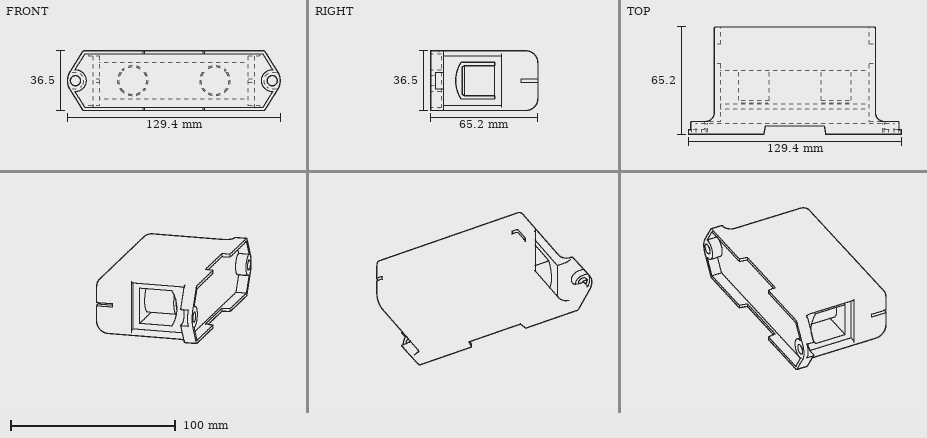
import cadquery as cq
import math

length = 129.4
height = 65.2
width = 36.5

body_length = 98.0
flange_height = 7.9
root_radius = 5.2
shoulder_half_length = 55.1
shoulder_radius = 1.3
tip_radius = 10.0
top_corner_radius = 7.5
rim_radius = 0.9

hole_spacing = 119.5
hole_diameter = 6.1
boss_radius = 6.6
seat_radius = 5.0
seat_height = 2.8

wall = 2.0
underside_depth = 6.6
notch_depth = 5.0
notch_top_length = 35.7
notch_mouth_length = 37.5

recess_top = 43.0
recess_depth = 4.0
recess_width = 29.9
recess_edge_radius = 1.2

passage_width = 22.3
passage_top = 38.8
passage_side_bottom = 18.5
passage_bottom = 15.3
post_spacing = 50.0
post_diameter = 18.4
post_bottom = 19.1
post_chamfer_length = 1.3
post_chamfer_width = 0.8

slit_width = 2.1
slit_height = 10.2
slit_depth = 4.0

half_length = length / 2
half_width = width / 2
half_body = body_length / 2
end_signs = (-1, 1)


def upward(height_above_base):
    """Sketch plane parallel to the mounting face: local x is X, local y is -Z, extruding toward +Y."""
    return cq.Workplane(cq.Plane((0, height_above_base, 0), xDir=(1, 0, 0), normal=(0, 1, 0)))


def across(x):
    """Sketch plane facing +X: local x is Y, local y is Z."""
    return cq.Workplane(cq.Plane((x, 0, 0), xDir=(0, 1, 0), normal=(1, 0, 0)))


def plan_prism(inset, depth):
    """Six-sided plan with rounded tips, moved inward by inset and raised from the mounting face."""
    centre_x = half_length - tip_radius
    run = shoulder_half_length - centre_x
    distance = math.hypot(run, half_width)
    angle = math.atan2(half_width, run) - math.acos(tip_radius / distance)
    radius = tip_radius - inset
    tangent_x = centre_x + radius * math.cos(angle)
    tangent_z = radius * math.sin(angle)
    side_z = half_width - inset
    corner_x = tangent_x - (side_z - tangent_z) * math.tan(angle)
    tip_x = half_length - inset
    return (
        upward(0)
        .moveTo(-corner_x, side_z)
        .lineTo(corner_x, side_z)
        .lineTo(tangent_x, tangent_z)
        .threePointArc((tip_x, 0), (tangent_x, -tangent_z))
        .lineTo(corner_x, -side_z)
        .lineTo(-corner_x, -side_z)
        .lineTo(-tangent_x, -tangent_z)
        .threePointArc((-tip_x, 0), (-tangent_x, tangent_z))
        .close()
        .extrude(depth)
    )


def is_root_boundary(edge):
    """True for the crosswise edges where a rounded root runs smoothly into its neighbours."""
    middle = edge.Center()
    return edge.geomType() == "LINE" and abs(middle.z) < rim_radius and middle.y < height - rim_radius


def make_shell():
    """Outer shape: flange plus housing block, with rounded roots, top corners and rims."""
    root_top = flange_height + root_radius
    root_end = half_body + root_radius
    root_middle = root_radius * (1 - math.sqrt(0.5))
    elevation = (
        cq.Workplane("XY", origin=(0, 0, -half_width))
        .moveTo(-half_length, 0)
        .lineTo(half_length, 0)
        .lineTo(half_length, flange_height)
        .lineTo(root_end, flange_height)
        .threePointArc((half_body + root_middle, flange_height + root_middle), (half_body, root_top))
        .lineTo(half_body, height)
        .lineTo(-half_body, height)
        .lineTo(-half_body, root_top)
        .threePointArc((-half_body - root_middle, flange_height + root_middle), (-root_end, flange_height))
        .lineTo(-half_length, flange_height)
        .close()
        .extrude(width)
    )
    plan = plan_prism(0, height)
    for sign in end_signs:
        zone = cq.selectors.BoxSelector(
            (sign * (shoulder_half_length - shoulder_radius), 0, -width),
            (sign * (shoulder_half_length + shoulder_radius), height, width),
        )
        plan = plan.edges("|Y").edges(zone).fillet(shoulder_radius)
    shell = elevation.intersect(plan)
    shell = shell.edges("|X").edges(">Y").fillet(top_corner_radius)
    reach = half_body - rim_radius
    for sign in end_signs:
        zone = cq.selectors.BoxSelector(
            (sign * reach, flange_height - rim_radius, -width),
            (sign * length, height + rim_radius, width),
        )
        rim_edges = [edge for edge in shell.edges(zone).vals() if not is_root_boundary(edge)]
        shell = shell.newObject(rim_edges).fillet(rim_radius)
    return shell


def make_recess(sign):
    """Straight-walled recess in an end face, standing on the flange top."""
    size_x = half_length - half_body + recess_depth
    size_y = recess_top - flange_height
    centre = (sign * (half_body - recess_depth + size_x / 2), flange_height + size_y / 2, 0)
    return cq.Workplane("XY").box(size_x, size_y, recess_width).translate(centre)


def recess_corner(sign, side):
    """Corner between end face and recess wall that lies outside the rounded mouth edge."""
    radius = recess_edge_radius
    wall_z = side * recess_width / 2
    middle = radius * (1 - math.sqrt(0.5))
    return (
        upward(flange_height + root_radius)
        .moveTo(sign * half_body, wall_z)
        .lineTo(sign * half_body, wall_z + side * radius)
        .threePointArc(
            (sign * (half_body - middle), wall_z + side * middle),
            (sign * (half_body - radius), wall_z),
        )
        .close()
    )


def make_recess_rounding(sign, side):
    """Material removed to round a recess mouth edge, up the end face and around its root."""
    straight = recess_corner(sign, side).extrude(recess_top - flange_height - root_radius)
    axis_x = sign * (half_body + root_radius)
    ring = recess_corner(sign, side).revolve(360, (axis_x, 0, 0), (axis_x, 1, 0))
    above_flange = upward(flange_height).rect(2 * length, 2 * width).extrude(height)
    return straight.union(ring.intersect(above_flange))


def make_passage():
    """Opening through the housing along X with a curved bottom, around the hanging posts."""
    side_z = passage_width / 2
    passage = (
        across(-half_length)
        .moveTo(passage_side_bottom, side_z)
        .lineTo(passage_top, side_z)
        .lineTo(passage_top, -side_z)
        .lineTo(passage_side_bottom, -side_z)
        .threePointArc((passage_bottom, 0), (passage_side_bottom, side_z))
        .close()
        .extrude(length)
    )
    posts = (
        upward(post_bottom)
        .pushPoints([(sign * post_spacing / 2, 0) for sign in end_signs])
        .circle(post_diameter / 2)
        .extrude(passage_top - post_bottom)
        .faces("<Y")
        .chamfer(post_chamfer_length, post_chamfer_width)
    )
    return passage.cut(posts)


def make_underside():
    """Hollow under the flange, leaving a wall all round and the two screw bosses."""
    bosses = upward(0).pushPoints([(sign * hole_spacing / 2, 0) for sign in end_signs]).circle(boss_radius)
    return plan_prism(wall, underside_depth).cut(bosses.extrude(underside_depth))


def make_screw_seat(sign):
    """Screw hole with a round seat that opens outward through the flange tip."""
    x = sign * hole_spacing / 2
    seat_depth = flange_height - seat_height
    hole = upward(0).center(x, 0).circle(hole_diameter / 2).extrude(flange_height)
    round_end = upward(seat_height).center(x, 0).circle(seat_radius).extrude(seat_depth)
    mouth = (
        upward(seat_height)
        .center(x + sign * seat_radius, 0)
        .rect(2 * seat_radius, 2 * seat_radius)
        .extrude(seat_depth)
    )
    return hole.union(round_end).union(mouth)


def make_notch():
    """Tapered notch for the mounting rail, cut across the full width."""
    return (
        cq.Workplane("XY", origin=(0, 0, -half_width))
        .polyline([
            (-notch_mouth_length / 2, 0),
            (notch_mouth_length / 2, 0),
            (notch_top_length / 2, notch_depth),
            (-notch_top_length / 2, notch_depth),
        ])
        .close()
        .extrude(width)
    )


def make_slit(sign):
    """Narrow slit running down an end face from the top."""
    centre = (sign * (half_body - slit_depth / 2), height - slit_height / 2, 0)
    return cq.Workplane("XY").box(slit_depth, slit_height, slit_width).translate(centre)


result = make_shell().cut(make_underside()).cut(make_notch()).cut(make_passage())
for end in end_signs:
    result = result.cut(make_recess(end)).cut(make_screw_seat(end)).cut(make_slit(end))
    for side in (-1, 1):
        result = result.cut(make_recess_rounding(end, side))